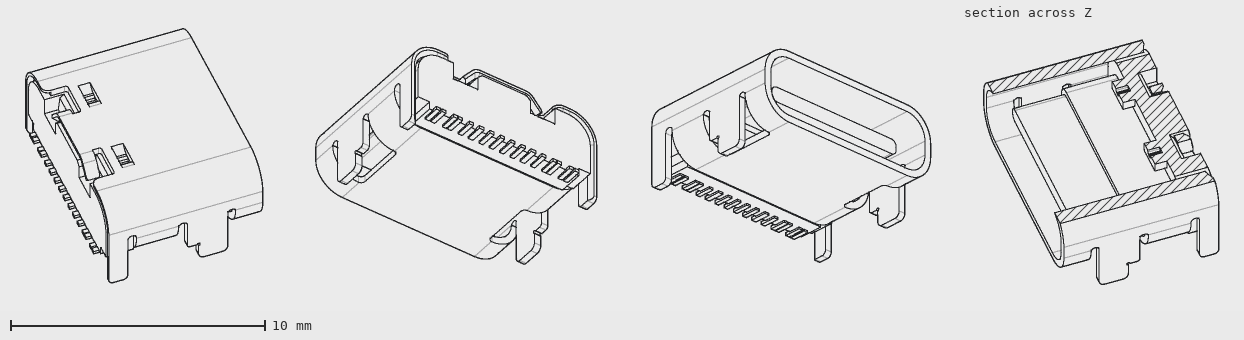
import cadquery as cq
import math


width = 8.94
length = 6.52
height = 3.18
wall = 0.31
corner_radius = 1.28
lead_in = 0.18
half_width = width / 2
inner_half = half_width - wall
ceiling = height - wall
mid_height = height / 2

leg_bottom = -0.88
leg_corner_radius = 0.21
foot_corner_radius = 0.24
slits = [
    (0.805, 1.17, 1.48),
    (2.96, 3.32, 1.38),
    (5.03, 5.36, 1.38),
]
rear_leg_front = slits[0][0]
floor_rear = slits[0][1]
shoulder_rear = slits[1][1]
foot_rear = 3.8
foot_front = slits[2][0]
shoulder_bottom = -0.08
shoulder_radius = 0.13
relief_radius = 0.06
leg_gap_inset = 1.43
leg_gap_corner_radius = 0.19

notch_outer = 2.56
notch_inner = 1.055
notch_depth = 1.01
notch_corner_radius = 0.11
notch_flare_radius = 0.31
flap_setback = 0.09
finger_front = 0.65
finger_start = 1.1
finger_angle = math.radians(49)
finger_bend_radius = 0.48
finger_straight = 0.7
finger_corner_radius = 0.09

strip_left_ends = (-2.39, 1.16)
strip_rear = 1.4
strip_front = 1.9
strip_length = 1.225
strip_left_run = 0.33
strip_left_mid = (0.14, 0.17)
strip_shelf_end = 0.43
strip_shelf_depth = 0.29
strip_slot_start = 0.54
strip_slope_depth = 0.36
strip_slot_depth = 0.49
strip_slot_floor = 0.22
strip_bottom = height - strip_slot_depth - strip_slot_floor
strip_angle = math.radians(60)
strip_steep_run = 0.12
strip_outer_bend = 0.38
strip_inner_bend = 0.09

housing_front = strip_rear
housing_corner_radius = 1.12
housing_step_height = 0.36
foot_inset = 0.87
floor_clearance = 0.05
housing_foot_front = floor_rear - floor_clearance
pocket_outer = 2.45
pocket_inner = 1.28
pocket_depth = 1.11
pocket_floor = height - pocket_depth
pocket_bevel_inner = 1.07
pocket_floor_front = 0.59
pocket_wall_top_front = 0.65
pocket_wall_top_depth = 0.465
pocket_bevel_front = 0.83
pocket_bevel_depth = 0.5

tongue_front = 5.72
tongue_width = 6.705
tongue_thickness = 0.66
tongue_corner_radius = 0.27
root_overlap = 0.31
root_rear = housing_front - root_overlap
root_front = 3.58
root_width = 7.15
root_thickness = 1.18
root_corner_radius = 0.54

pin_width = 0.2
wide_pin_width = 0.23
pins = [
    (0.25, pin_width),
    (0.75, pin_width),
    (1.25, wide_pin_width),
    (1.75, pin_width),
    (2.28, pin_width),
    (2.51, pin_width),
    (3.075, pin_width),
    (3.34, pin_width),
]
pin_bottom = -0.08
pin_top = 0.05
pin_rear = -0.23
pin_front = 0.54


def box(x0, x1, y0, y1, z0, z1):
    """Box between opposite corners."""
    return cq.Workplane("XY").box(x1 - x0, y1 - y0, z1 - z0, centered=False).translate((x0, y0, z0))


def along_y(outline, y0, y1):
    """Extrude an XZ outline from y0 to y1."""
    return outline.extrude(y0 - y1).translate((0, y0, 0))


def both_sides(solid):
    """The solid together with its mirror image across X = 0."""
    return solid.union(solid.mirror("YZ"))


def rounded_bar(bar_width, bar_height, radius, y0, y1):
    """Bar along Y with rounded long edges, centred on the shell axis."""
    half_bar = bar_width / 2
    bottom = mid_height - bar_height / 2
    bar = box(-half_bar, half_bar, y0, y1, bottom, bottom + bar_height)
    return bar.edges("|Y").fillet(radius)


def make_side_plate():
    """Flat left-hand wall carrying the rear leg and the stepped middle leg."""
    x0 = -half_width
    x1 = -inner_half
    leg_top = height - corner_radius

    rear_leg = box(x0, x1, 0, rear_leg_front, leg_bottom, leg_top)
    rear_leg = rear_leg.edges("|X and <Z and >Y").fillet(leg_corner_radius)

    foot = box(x0, x1, foot_rear, foot_front, leg_bottom, leg_top)
    foot = foot.edges("|X and <Z").fillet(foot_corner_radius)

    shoulder = box(x0, x1, shoulder_rear, foot_rear, shoulder_bottom, leg_top)
    shoulder = shoulder.edges("|X and <Z and <Y").fillet(shoulder_radius)

    web = box(x0, x1, 0, foot_front, corner_radius, leg_top)

    relief = (
        cq.Workplane("YZ", origin=(x0, 0, 0))
        .center(foot_rear, shoulder_bottom)
        .circle(relief_radius)
        .extrude(wall)
    )
    return rear_leg.union(foot).union(shoulder).union(web).cut(relief)


def make_slit(rear, front, top):
    """Round-topped slit through the left-hand wall."""
    radius = (front - rear) / 2
    outline = (
        cq.Workplane("YZ", origin=(-half_width, 0, 0))
        .moveTo(rear, 0)
        .lineTo(front, 0)
        .lineTo(front, top - radius)
        .threePointArc(((rear + front) / 2, top), (rear, top - radius))
        .close()
    )
    return outline.extrude(wall)


def make_flap():
    """Central roof flap whose two ends are bent down into fingers."""
    sin_a = math.sin(finger_angle)
    cos_a = math.cos(finger_angle)
    centre_z = height - finger_bend_radius
    inner_bend_radius = finger_bend_radius - wall

    def on_bend(radius, angle):
        return (finger_start + radius * math.sin(angle), centre_z + radius * math.cos(angle))

    def tip(radius):
        x, z = on_bend(radius, finger_angle)
        return (x + finger_straight * cos_a, z - finger_straight * sin_a)

    outline = (
        cq.Workplane("XZ")
        .moveTo(0, height)
        .lineTo(finger_start, height)
        .threePointArc(
            on_bend(finger_bend_radius, finger_angle / 2),
            on_bend(finger_bend_radius, finger_angle),
        )
        .lineTo(*tip(finger_bend_radius))
        .lineTo(*tip(inner_bend_radius))
        .lineTo(*on_bend(inner_bend_radius, finger_angle))
        .threePointArc(on_bend(inner_bend_radius, finger_angle / 2), (finger_start, ceiling))
        .lineTo(0, ceiling)
        .close()
    )
    half_flap = along_y(outline, flap_setback, finger_front)
    rounded_plan = box(0, tip(finger_bend_radius)[0], flap_setback, finger_front, pocket_floor, height)
    rounded_plan = rounded_plan.edges("|Z and >X").fillet(finger_corner_radius)
    inner_edge_seed = cq.selectors.NearestToPointSelector((finger_start / 2, flap_setback, ceiling))
    half_flap = half_flap.edges(inner_edge_seed).chamfer(lead_in)
    half_flap = half_flap.intersect(rounded_plan)
    root = box(0, notch_inner, finger_front, notch_depth, ceiling, height)
    return both_sides(half_flap.union(root))


def make_rear_opening():
    """Gap in the rear end of the roof, flaring out towards the rear."""
    flare_end = notch_outer + notch_flare_radius
    opening = box(-flare_end, flare_end, 0, notch_flare_radius, ceiling, height)
    flare_round = (
        cq.Workplane("XY", origin=(flare_end, notch_flare_radius, ceiling))
        .circle(notch_flare_radius)
        .extrude(wall)
    )
    return opening.cut(both_sides(flare_round))


def make_notch():
    """Right-hand roof notch in front of the rear opening."""
    notch = box(notch_inner, notch_outer, 0, notch_depth, ceiling, height)
    notch = notch.edges("|Z and >Y").fillet(notch_corner_radius)
    return notch.union(box(0, notch_outer, 0, finger_front, ceiling, height))


def make_leg_rear_corner():
    """Material to remove to round the rear bottom corners of both rear legs."""
    corner_top = leg_bottom + leg_corner_radius
    corner = box(-half_width, half_width, 0, leg_corner_radius, leg_bottom, corner_top)
    rounding = (
        cq.Workplane("YZ", origin=(-half_width, leg_corner_radius, corner_top))
        .circle(leg_corner_radius)
        .extrude(width)
    )
    return corner.cut(rounding)


def make_shell():
    """Sheet-metal tube with slits, legs and the rear flap."""
    tube = box(-half_width, half_width, 0, length, 0, height).edges("|Y").fillet(corner_radius)
    bore = box(-inner_half, inner_half, 0, length, wall, ceiling).edges("|Y").fillet(corner_radius - wall)
    shell = tube.cut(bore)

    shell = shell.cut(box(-half_width, half_width, 0, floor_rear, 0, corner_radius))
    gap_front = slits[2][1]
    gap_rear = slits[1][0]
    leg_gap = box(-half_width, leg_gap_inset - half_width, gap_rear, gap_front, 0, corner_radius)
    leg_gap = leg_gap.edges("|Z and >X").fillet(leg_gap_corner_radius)
    shell = shell.cut(both_sides(leg_gap))

    shell = shell.union(both_sides(make_side_plate()))
    for rear, front, top in slits:
        shell = shell.cut(both_sides(make_slit(rear, front, top)))

    shell = shell.cut(make_rear_opening())
    for side in (-1, 1):
        inner_edge_seed = cq.selectors.NearestToPointSelector((side * inner_half, 0, corner_radius))
        shell = shell.edges(inner_edge_seed).chamfer(lead_in)
    shell = shell.cut(make_leg_rear_corner())
    shell = shell.cut(both_sides(make_notch())).union(make_flap())

    for left_end in strip_left_ends:
        shell = shell.cut(make_strip_hollow(left_end)).union(make_strip(left_end))
    return shell


def strip_surface(left_end):
    """Open outline along a pressed-down strip: concave left end, slot in the middle, S-shaped right end."""
    right_end = left_end + strip_length
    crown_z = height - strip_outer_bend

    def on_crown(angle):
        x = right_end - strip_outer_bend * math.sin(angle)
        z = crown_z + strip_outer_bend * math.cos(angle)
        return (x, z)

    steep_top_x, steep_top_z = on_crown(strip_angle)
    steep_bottom_x = steep_top_x - strip_steep_run
    steep_bottom_z = steep_top_z - strip_steep_run * math.tan(strip_angle)
    heel_x = steep_bottom_x - strip_inner_bend * math.sin(strip_angle)
    heel_z = steep_bottom_z - strip_inner_bend * (1 - math.cos(strip_angle))
    slot_z = height - strip_slot_depth
    slot_left = left_end + strip_slot_start
    return (
        cq.Workplane("XZ")
        .moveTo(left_end, height)
        .threePointArc(
            (left_end + strip_left_mid[0], height - strip_left_mid[1]),
            (left_end + strip_left_run, height - strip_shelf_depth),
        )
        .lineTo(left_end + strip_shelf_end, height - strip_shelf_depth)
        .lineTo(slot_left, height - strip_slope_depth)
        .lineTo(slot_left, slot_z)
        .lineTo(heel_x, slot_z)
        .lineTo(heel_x, heel_z)
        .threePointArc(
            (
                heel_x + strip_inner_bend * math.sin(strip_angle / 2),
                heel_z + strip_inner_bend * (1 - math.cos(strip_angle / 2)),
            ),
            (steep_bottom_x, steep_bottom_z),
        )
        .lineTo(steep_top_x, steep_top_z)
        .threePointArc(on_crown(strip_angle / 2), (right_end, height))
    )


def make_strip_hollow(left_end):
    """Space above a pressed-down strip."""
    return along_y(strip_surface(left_end).close(), strip_rear, strip_front)


def make_strip(left_end):
    """Metal of a pressed-down strip below its hollow."""
    outline = (
        strip_surface(left_end)
        .lineTo(left_end + strip_length, strip_bottom)
        .lineTo(left_end, strip_bottom)
        .close()
    )
    return along_y(outline, strip_rear, strip_front)


def make_pocket():
    """Right-hand pocket that leaves room for a bent finger."""
    front_outline = (
        cq.Workplane("XZ")
        .moveTo(pocket_outer, pocket_floor)
        .lineTo(pocket_inner, pocket_floor)
        .lineTo(pocket_inner, height - pocket_bevel_depth)
        .lineTo(pocket_bevel_inner, ceiling)
        .lineTo(pocket_outer, ceiling)
        .close()
    )
    side_outline = (
        cq.Workplane("YZ")
        .moveTo(0, ceiling)
        .lineTo(pocket_bevel_front, ceiling)
        .lineTo(pocket_wall_top_front, height - pocket_wall_top_depth)
        .lineTo(pocket_floor_front, pocket_floor)
        .lineTo(0, pocket_floor)
        .close()
    )
    return along_y(front_outline, 0, pocket_bevel_front).intersect(side_outline.extrude(half_width))


def make_housing():
    """Plastic body with a foot below, two finger pockets on top and the tongue in front."""
    body = box(-inner_half, inner_half, 0, floor_rear, housing_step_height, ceiling)
    body = body.edges("|Y and >Z").fillet(housing_corner_radius)
    plug = box(-inner_half, inner_half, 0, housing_front, wall, ceiling)
    plug = plug.edges("|Y and >Z").fillet(housing_corner_radius)
    plug = plug.edges("|Y and <Z").fillet(corner_radius - wall)
    foot_half = half_width - foot_inset
    foot = box(-foot_half, foot_half, 0, housing_foot_front, 0, ceiling / 2)
    root = rounded_bar(root_width, root_thickness, root_corner_radius, root_rear, root_front)
    tongue = rounded_bar(tongue_width, tongue_thickness, tongue_corner_radius, root_rear, tongue_front)
    return body.union(plug).union(foot).cut(both_sides(make_pocket())).union(root).union(tongue)


def make_pins():
    """Row of soldering pins along the rear, mirrored about the mid-plane."""
    half_row = cq.Workplane("XY")
    for offset, size in pins:
        pin = box(offset - size / 2, offset + size / 2, pin_rear, pin_front, pin_bottom, pin_top)
        half_row = half_row.union(pin)
    return both_sides(half_row)


result = make_shell().union(make_housing()).union(make_pins())